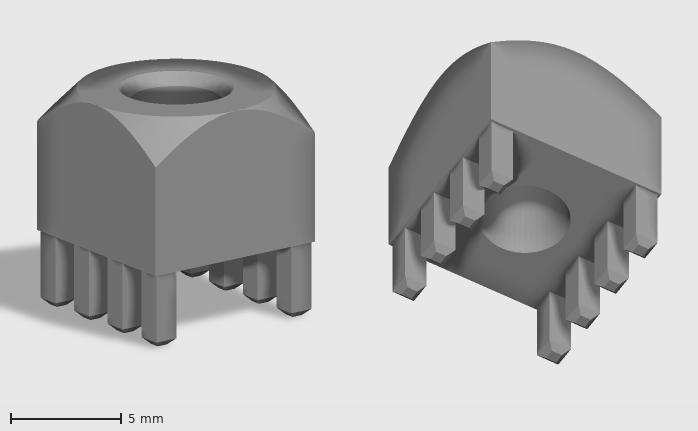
import cadquery as cq

total_height = 10.5
body_side = 9.0
pin_length = 3.5
body_height = total_height - pin_length

bore_diameter = 4.14
countersink_diameter = 5.24
countersink_angle = 90.0

pin_width = 1.13
pin_pitch = 2.54
pins_per_row = 4
row_spacing = (pins_per_row - 1) * pin_pitch
pin_tip_chamfer = 0.3


def make_body():
    """Square block whose top corners are cut by a 45 degree cone tangent to the top edges."""
    block = cq.Workplane("XY").box(body_side, body_side, body_height, centered=(True, True, False))
    top_radius = body_side / 2
    base_radius = top_radius + body_height
    cone = cq.Workplane("XY").add(cq.Solid.makeCone(base_radius, top_radius, body_height))
    return block.intersect(cone)


def make_pins():
    """Two rows of square pins hanging below the body, with chamfered tips."""
    return (
        cq.Workplane("XY")
        .rarray(pin_pitch, row_spacing, pins_per_row, 2)
        .rect(pin_width, pin_width)
        .extrude(-pin_length)
        .faces("<Z")
        .chamfer(pin_tip_chamfer)
    )


body = make_body().union(make_pins())

result = (
    body.faces(">Z")
    .workplane(origin=(0, 0, body_height))
    .cskHole(bore_diameter, countersink_diameter, countersink_angle)
)